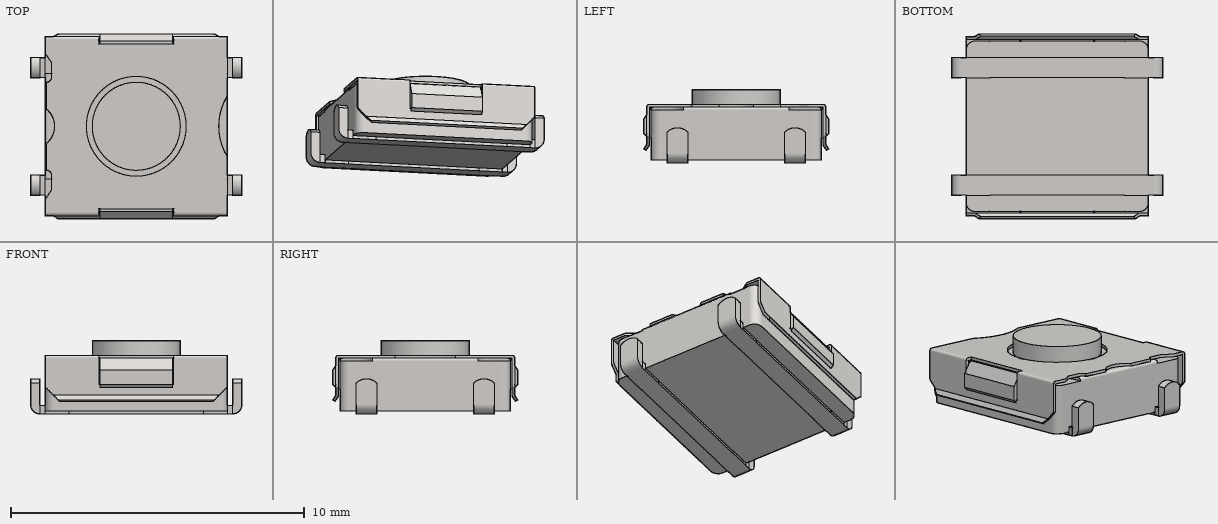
import cadquery as cq
import math


total_height = 2.5
cover_top = 2.0
sheet = 0.1
cover_underside = cover_top - sheet

body_length = 6.2
body_width = 5.8
body_bottom = 0.1
body_corner_radius = 0.3
shelf_top = 1.8
rim_lobe_half_width = 1.79
rim_inner_half_length = 2.3
rim_corner_radius = 0.5
rim_edge_radius = 0.1

cover_length = body_length
cover_width = 6.1
bend_radius = 0.1
cut_edge_radius = 0.1
button_hole_radius = 1.7
skirt_corner_z = 0.92
skirt_bottom = 0.64
lip_tip_z = 0.485
overall_width = 6.3

latch_width = 2.47
latch_face_top = 1.49
latch_face_bottom = 1.0
latch_root_bottom = 0.85
window_width = 2.54
window_inner_y = 2.81
window_bottom = latch_face_bottom

left_edge_x = -3.06
notch_x = -2.88
notch_outer_y = 2.49
notch_slant_y = 2.16
notch_radius = notch_x - left_edge_x
notch_inner_y = 1.5
left_scallop_half_width = 0.585
left_scallop_depth = 0.28
right_scallop_half_width = 1.03
right_scallop_depth = 0.293

button_radius = 1.5

terminal_span = 7.2
terminal_y = 2.0
leg_thickness = 0.32
leg_width = 0.7
leg_shoulder_z = 1.05
leg_top = 1.2
foot_thickness = 0.29
foot_width = 0.68
pad_inner_x = 2.29

half_body_x = body_length / 2
half_body_y = body_width / 2
half_cover_x = cover_length / 2
half_cover_y = cover_width / 2
half_overall_y = overall_width / 2


def box(x0, x1, y0, y1, z0, z1):
    """Box given by its limits along each axis."""
    return cq.Workplane("XY").box(x1 - x0, y1 - y0, z1 - z0, centered=False).translate((x0, y0, z0))


def both_sides_y(shape):
    """The shape together with its mirror image across the XZ plane."""
    return shape.union(shape.mirror("XZ"))


def extrude_along_x(points, half_length):
    """Closed (y, z) outline extruded symmetrically along X."""
    return cq.Workplane("YZ").polyline(points).close().extrude(half_length, both=True)


def make_body():
    block = box(-half_body_x, half_body_x, -half_body_y, half_body_y, body_bottom, cover_underside)
    block = block.edges("|Z").fillet(body_corner_radius)
    block = block.faces(">Z").edges("|Y").fillet(rim_edge_radius)

    shelf_length = half_body_x - rim_inner_half_length
    shelf_width = half_body_y - rim_lobe_half_width
    for x_sign in (-1, 1):
        for y_sign in (-1, 1):
            shelf = (
                cq.Workplane("XY")
                .workplane(offset=shelf_top)
                .moveTo(x_sign * half_body_x, y_sign * half_body_y)
                .hLine(-x_sign * shelf_length)
                .vLine(-y_sign * (shelf_width - rim_corner_radius))
                .radiusArc(
                    (
                        x_sign * (rim_inner_half_length + rim_corner_radius),
                        y_sign * rim_lobe_half_width,
                    ),
                    -x_sign * y_sign * rim_corner_radius,
                )
                .hLineTo(x_sign * half_body_x)
                .close()
                .extrude(cover_underside - shelf_top)
            )
            block = block.cut(shelf)
    return block


def make_latches():
    undercut_y = half_overall_y - (latch_face_bottom - latch_root_bottom)
    profile = [
        (0, cover_underside),
        (half_body_y, cover_underside),
        (half_overall_y, latch_face_top),
        (half_overall_y, latch_face_bottom),
        (undercut_y, latch_root_bottom),
        (0, latch_root_bottom),
    ]
    return both_sides_y(extrude_along_x(profile, latch_width / 2))


def make_plate_end_cutters():
    """Everything to be removed from the two ends of the cover plate."""
    depth = cover_top - cover_underside
    arc_mid = notch_radius * math.sqrt(0.5)
    arc_y = notch_inner_y + notch_radius
    left = (
        cq.Workplane("XY")
        .workplane(offset=cover_underside)
        .moveTo(-half_cover_x, notch_outer_y)
        .lineTo(notch_x, notch_slant_y)
        .lineTo(notch_x, arc_y)
        .threePointArc((left_edge_x + arc_mid, arc_y - arc_mid), (left_edge_x, notch_inner_y))
        .lineTo(left_edge_x, left_scallop_half_width)
        .threePointArc((left_edge_x + left_scallop_depth, 0), (left_edge_x, -left_scallop_half_width))
        .lineTo(left_edge_x, -notch_inner_y)
        .threePointArc((left_edge_x + arc_mid, -arc_y + arc_mid), (notch_x, -arc_y))
        .lineTo(notch_x, -notch_slant_y)
        .lineTo(-half_cover_x, -notch_outer_y)
        .close()
        .extrude(depth)
    )
    right = (
        cq.Workplane("XY")
        .workplane(offset=cover_underside)
        .moveTo(half_cover_x, -right_scallop_half_width)
        .threePointArc(
            (half_cover_x - right_scallop_depth, 0),
            (half_cover_x, right_scallop_half_width),
        )
        .close()
        .extrude(depth)
    )
    return left.union(right)


def make_skirt():
    """Side wall at +Y with its outward lip, corners cut at 45 degrees."""
    lip_out = half_overall_y - half_cover_y
    lip_drop = skirt_bottom - lip_tip_z
    lip_angle = math.atan2(lip_drop, lip_out)
    offset_y = sheet * math.sin(lip_angle)
    offset_z = sheet * math.cos(lip_angle)
    inner_bend_drop = sheet * math.tan((math.pi / 2 - lip_angle) / 2)
    inner_y = half_cover_y - sheet
    profile = [
        (inner_y, cover_top),
        (half_cover_y, cover_top),
        (half_cover_y, skirt_bottom),
        (half_overall_y, lip_tip_z),
        (half_overall_y - offset_y, lip_tip_z - offset_z),
        (inner_y, skirt_bottom - inner_bend_drop),
    ]
    wall = extrude_along_x(profile, half_cover_x)
    corner_half_x = half_cover_x - skirt_corner_z
    outline = (
        cq.Workplane("XZ")
        .polyline(
            [
                (-half_cover_x, cover_top),
                (half_cover_x, cover_top),
                (half_cover_x, skirt_corner_z),
                (corner_half_x, 0),
                (-corner_half_x, 0),
                (-half_cover_x, skirt_corner_z),
            ]
        )
        .close()
        .extrude(overall_width, both=True)
    )
    for x in (-half_cover_x, half_cover_x):
        corner = cq.NearestToPointSelector((x, 0, skirt_corner_z))
        outline = outline.edges(corner).fillet(cut_edge_radius)
    return wall.intersect(outline)


def make_cover():
    mid_sheet_z = cover_top - sheet / 2
    plate = box(-half_cover_x, half_cover_x, -half_cover_y, half_cover_y, cover_underside, cover_top)
    cover = plate.union(both_sides_y(make_skirt()))
    cover = cover.faces(">Z").edges("|X").fillet(bend_radius)
    cover = cover.cut(make_plate_end_cutters())
    for x, y in ((-half_cover_x, notch_outer_y), (notch_x, notch_slant_y)):
        for y_sign in (-1, 1):
            corner = cq.NearestToPointSelector((x, y_sign * y, mid_sheet_z))
            cover = cover.edges(corner).fillet(cut_edge_radius)
    hole = cq.Workplane("XY").workplane(offset=cover_underside).circle(button_hole_radius).extrude(sheet)
    half_window = window_width / 2
    window = box(-half_window, half_window, window_inner_y, half_overall_y, window_bottom, cover_top)
    return cover.cut(hole).cut(both_sides_y(window))


def make_button():
    return (
        cq.Workplane("XY")
        .workplane(offset=shelf_top)
        .circle(button_radius)
        .extrude(total_height - shelf_top)
    )


def make_leg():
    """Upright terminal leg at the +X end, centred on Y = 0."""
    outer_x = terminal_span / 2
    half_width = leg_width / 2
    leg = (
        cq.Workplane("YZ")
        .workplane(offset=outer_x - leg_thickness)
        .moveTo(-half_width, 0)
        .lineTo(half_width, 0)
        .lineTo(half_width, leg_shoulder_z)
        .threePointArc((0, leg_top), (-half_width, leg_shoulder_z))
        .close()
        .extrude(leg_thickness)
    )
    bend_start_x = outer_x - leg_thickness
    bend_reach = leg_thickness * math.sqrt(0.5)
    side_outline = (
        cq.Workplane("XZ")
        .moveTo(bend_start_x, 0)
        .threePointArc(
            (bend_start_x + bend_reach, leg_thickness - bend_reach),
            (outer_x, leg_thickness),
        )
        .lineTo(outer_x, leg_top)
        .lineTo(bend_start_x, leg_top)
        .close()
        .extrude(leg_width, both=True)
    )
    return leg.intersect(side_outline)


def make_terminal():
    """Strip under the body with a leg turned up at each end."""
    inner_leg_x = terminal_span / 2 - leg_thickness
    half_foot = foot_width / 2
    half_pad = leg_width / 2
    strip = box(-inner_leg_x, inner_leg_x, -half_foot, half_foot, 0, foot_thickness)
    pad = box(pad_inner_x, half_body_x, -half_pad, half_pad, 0, foot_thickness)
    end = pad.union(make_leg())
    return strip.union(end).union(end.mirror("YZ"))


result = make_body().union(make_latches()).union(make_cover()).union(make_button())
terminal = make_terminal()
for y_sign in (-1, 1):
    result = result.union(terminal.translate((0, y_sign * terminal_y, 0)))